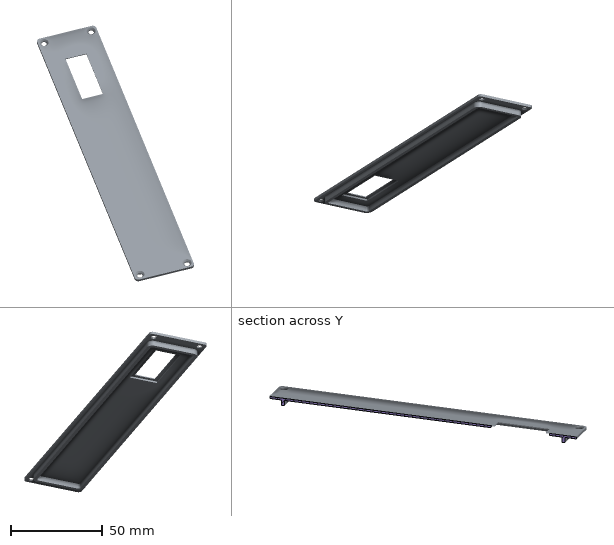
import cadquery as cq

plate_length = 180.0
plate_width = 34.0
plate_corner_radius = 2.0
total_height = 4.5
lip_height = 3.0
plate_thickness = total_height - lip_height

lip_end_inset = 6.8
lip_side_inset = 2.2
lip_corner_radius = 3.2
lip_wall = 2.0
lip_length = plate_length - 2 * lip_end_inset
lip_width = plate_width - 2 * lip_side_inset

hole_diameter = 3.0
countersink_diameter = 5.0
countersink_angle = 90.0
hole_inset = 3.5

window_length = 30.0
window_width = 12.0
window_end_distance = 18.0
window_center_x = -plate_length / 2 + window_end_distance + window_length / 2
window_center_y = 0.2

rebate_margin = 2.0
window_edge_thickness = 0.5
rebate_depth = plate_thickness - window_edge_thickness


def rounded_block(length, width, height, radius, base_z):
    """Block centred on the Z axis with rounded vertical edges."""
    block = cq.Workplane("XY", origin=(0, 0, base_z)).rect(length, width).extrude(height)
    return block.edges("|Z").fillet(radius)


def make_lip():
    """Frame of constant wall thickness, open through the middle."""
    outside = rounded_block(lip_length, lip_width, lip_height, lip_corner_radius, 0)
    inside = rounded_block(
        lip_length - 2 * lip_wall,
        lip_width - 2 * lip_wall,
        lip_height,
        lip_corner_radius - lip_wall,
        0,
    )
    return outside.cut(inside)


def add_screw_holes(body):
    """Countersunk holes through the plate, sunk from its top face."""
    return (
        body.faces(">Z")
        .workplane(origin=(0, 0, total_height))
        .rect(plate_length - 2 * hole_inset, plate_width - 2 * hole_inset, forConstruction=True)
        .vertices()
        .cskHole(hole_diameter, countersink_diameter, countersink_angle)
    )


def window_block(margin, height):
    """Block under the window, larger than it by margin, rising from the plate underside."""
    return (
        cq.Workplane("XY", origin=(window_center_x, window_center_y, lip_height))
        .rect(window_length + 2 * margin, window_width + 2 * margin)
        .extrude(height)
    )


def cut_window(body):
    """Window through the plate, with its edge thinned from below by the rebate."""
    opening = window_block(0, plate_thickness)
    rebate = window_block(rebate_margin, rebate_depth)
    return body.cut(opening).cut(rebate)


plate = rounded_block(plate_length, plate_width, plate_thickness, plate_corner_radius, lip_height)
plate = add_screw_holes(plate)
plate = cut_window(plate)

result = plate.union(make_lip())